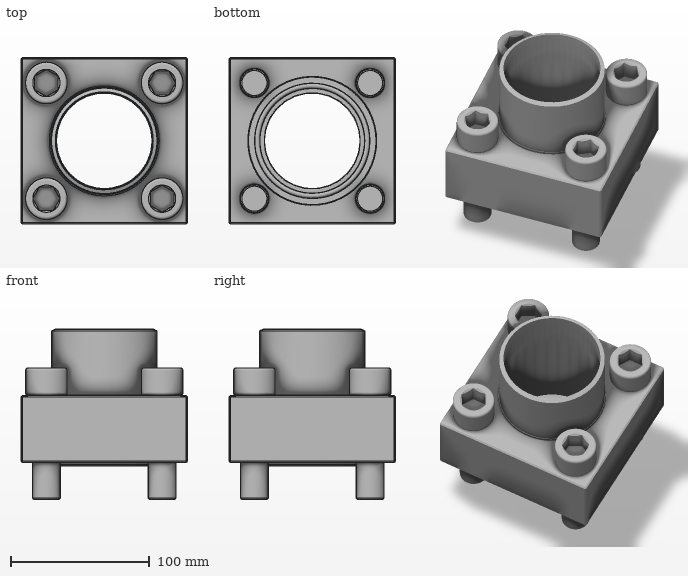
import cadquery as cq
import math

TOTAL_HEIGHT = 123.0
FLANGE_SIDE = 120.0
FLANGE_HEIGHT = 48.3
FLANGE_BOTTOM = 26.7
FLANGE_TOP = FLANGE_BOTTOM + FLANGE_HEIGHT
EDGE_CHAMFER = 1.0

SCREW_COUNT = 4
SCREW_CIRCLE_RADIUS = 59.0
FIRST_SCREW_ANGLE = 45.0
SHANK_DIAMETER = 20.0
SCREW_HOLE_DIAMETER = 21.0
HEAD_DIAMETER = 30.0
HEAD_HEIGHT = SHANK_DIAMETER
HEAD_FILLET = 2.0
SOCKET_CORNER_DIAMETER = 19.7
SOCKET_SIDES = 6
SOCKET_FLAT_WIDTH = SOCKET_CORNER_DIAMETER * math.cos(math.pi / SOCKET_SIDES)
SOCKET_DEPTH = 14.0

PIPE_OUTER_DIAMETER = 76.1
PIPE_MOUTH_DIAMETER = 70.0
PIPE_BORE_DIAMETER = 68.9
MOUTH_DEPTH = 24.4
WELD_BEVEL_WIDTH = 2.7
WELD_BEVEL_HEIGHT = 1.5
NECK_DIAMETER = 77.0
NECK_RISE = 0.5
NECK_TOP = FLANGE_TOP + NECK_RISE
COLLAR_DIAMETER = 92.0
COLLAR_BOTTOM = 25.3
COLLAR_TOP = 41.8

FLANGE_BORE_DIAMETER = 77.5
COUNTERBORE_DIAMETER = 93.0

GROOVE_INNER_DIAMETER = 75.5
GROOVE_OUTER_DIAMETER = 83.3
GROOVE_DEPTH = 2.3
SEAL_CORD_DIAMETER = 3.6
SEAL_MEAN_DIAMETER = (GROOVE_INNER_DIAMETER + GROOVE_OUTER_DIAMETER) / 2


def cylinder(diameter, bottom, top):
    """Solid round bar on the Z axis between two heights."""
    return cq.Workplane("XY").workplane(offset=bottom).circle(diameter / 2).extrude(top - bottom)


def screw_angles():
    """Angles of the screws about the flange axis, in degrees from X."""
    return [FIRST_SCREW_ANGLE + i * 360.0 / SCREW_COUNT for i in range(SCREW_COUNT)]


def lead_in_cone(bottom_diameter, top_diameter, top):
    """45 degree cone on the Z axis that widens up to the given height."""
    height = (top_diameter - bottom_diameter) / 2
    base = cq.Vector(0, 0, top - height)
    return cq.Workplane(cq.Solid.makeCone(bottom_diameter / 2, top_diameter / 2, height, pnt=base))


def make_flange():
    """Square block with a stepped bore and four screw clearance holes."""
    flange = (
        cq.Workplane("XY")
        .workplane(offset=FLANGE_BOTTOM)
        .rect(FLANGE_SIDE, FLANGE_SIDE)
        .extrude(FLANGE_HEIGHT)
        .edges()
        .chamfer(EDGE_CHAMFER)
    )
    bore = cylinder(FLANGE_BORE_DIAMETER, FLANGE_BOTTOM, FLANGE_TOP)
    mouth_diameter = FLANGE_BORE_DIAMETER + 2 * EDGE_CHAMFER
    bore_lead_in = lead_in_cone(FLANGE_BORE_DIAMETER, mouth_diameter, FLANGE_TOP)
    counterbore = cylinder(COUNTERBORE_DIAMETER, FLANGE_BOTTOM, COLLAR_TOP)
    flange = flange.cut(bore).cut(bore_lead_in).cut(counterbore)
    for angle in screw_angles():
        hole = cylinder(SCREW_HOLE_DIAMETER, FLANGE_BOTTOM, FLANGE_TOP)
        hole = hole.translate((SCREW_CIRCLE_RADIUS, 0, 0))
        flange = flange.cut(hole.rotate((0, 0, 0), (0, 0, 1), angle))
    return flange


def make_pipe_stub():
    """Collared pipe with a weld bevel, a slightly tapered bore and a seal groove."""
    outer_radius = PIPE_OUTER_DIAMETER / 2
    mouth_radius = PIPE_MOUTH_DIAMETER / 2
    bore_radius = PIPE_BORE_DIAMETER / 2
    neck_radius = NECK_DIAMETER / 2
    collar_radius = COLLAR_DIAMETER / 2
    mouth_bottom = TOTAL_HEIGHT - MOUTH_DEPTH
    stub = (
        cq.Workplane("XZ")
        .moveTo(bore_radius, COLLAR_BOTTOM)
        .lineTo(collar_radius, COLLAR_BOTTOM)
        .lineTo(collar_radius, COLLAR_TOP)
        .lineTo(neck_radius, COLLAR_TOP)
        .lineTo(neck_radius, NECK_TOP)
        .lineTo(outer_radius, NECK_TOP)
        .lineTo(outer_radius, TOTAL_HEIGHT - WELD_BEVEL_HEIGHT)
        .lineTo(outer_radius - WELD_BEVEL_WIDTH, TOTAL_HEIGHT)
        .lineTo(mouth_radius, TOTAL_HEIGHT)
        .lineTo(mouth_radius, mouth_bottom)
        .close()
        .revolve(360, (0, 0, 0), (0, 1, 0))
    )
    groove = cylinder(GROOVE_OUTER_DIAMETER, COLLAR_BOTTOM, COLLAR_BOTTOM + GROOVE_DEPTH).cut(
        cylinder(GROOVE_INNER_DIAMETER, COLLAR_BOTTOM, COLLAR_BOTTOM + GROOVE_DEPTH)
    )
    return stub.cut(groove)


def make_seal_ring():
    """Round-section ring that rests on the groove floor and stands proud of the collar."""
    center_height = COLLAR_BOTTOM + GROOVE_DEPTH - SEAL_CORD_DIAMETER / 2
    return (
        cq.Workplane("XZ")
        .center(SEAL_MEAN_DIAMETER / 2, center_height)
        .circle(SEAL_CORD_DIAMETER / 2)
        .revolve(360, (-SEAL_MEAN_DIAMETER / 2, 0, 0), (-SEAL_MEAN_DIAMETER / 2, 1, 0))
    )


def make_screw(angle):
    """Socket head cap screw, turned about the flange axis to its place on the screw circle."""
    head_top = FLANGE_TOP + HEAD_HEIGHT
    head = cylinder(HEAD_DIAMETER, FLANGE_TOP, head_top).edges().fillet(HEAD_FILLET)
    shank = cylinder(SHANK_DIAMETER, 0, FLANGE_TOP).faces("<Z").chamfer(EDGE_CHAMFER)
    socket = (
        cq.Workplane("XY")
        .workplane(offset=head_top - SOCKET_DEPTH)
        .polygon(SOCKET_SIDES, SOCKET_CORNER_DIAMETER)
        .extrude(SOCKET_DEPTH)
    )
    lead_in = lead_in_cone(SOCKET_FLAT_WIDTH, SOCKET_CORNER_DIAMETER, head_top)
    screw = head.union(shank).cut(socket).cut(lead_in)
    screw = screw.rotate((0, 0, 0), (0, 0, 1), -FIRST_SCREW_ANGLE)
    screw = screw.translate((SCREW_CIRCLE_RADIUS, 0, 0))
    return screw.rotate((0, 0, 0), (0, 0, 1), angle)


flange = make_flange()
pipe_stub = make_pipe_stub()
seal_ring = make_seal_ring()
screws = [make_screw(angle) for angle in screw_angles()]

result = cq.Compound.makeCompound(
    [flange.val(), pipe_stub.val(), seal_ring.val(), *[screw.val() for screw in screws]]
)